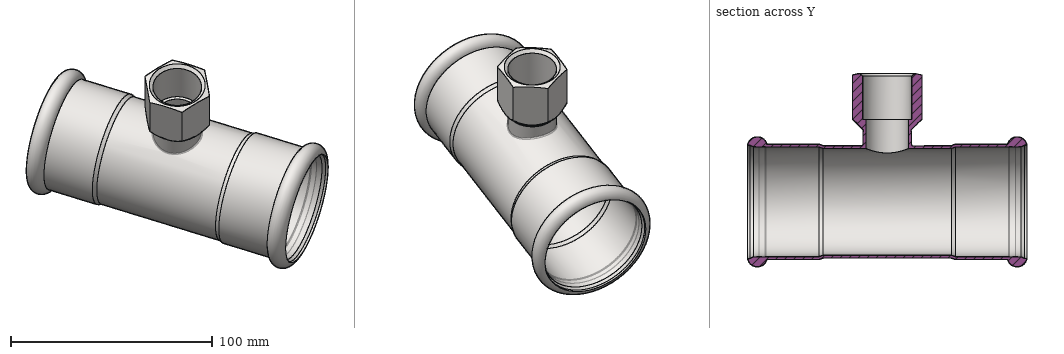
import cadquery as cq
import math

length = 139.0
body_radius = 56.0 / 2
body_bore_radius = 53.0 / 2
socket_radius = 57.5 / 2
socket_bore_radius = 54.5 / 2
step_start = 31.8
step_end = 33.9
bead_outer_radius = 32.4
bead_width = 9.9
bead_bore_radius = 54.8 / 2
mouth_radius = 28.1
mouth_depth = 1.3
mouth_taper_end = 2.9
throat_depth = 5.8
throat_radius = 27.2
bead_bore_depth = 8.6
bead_taper_end = 9.2
end_clearance = 1.4

top_z = 64.0
neck_radius = 24.2 / 2
neck_bore_radius = 21.0 / 2
neck_fillet = 0.5
collar_radius = 24.0 / 2
collar_bottom_z = 35.0
nut_cone_bottom_z = 35.7
nut_across_flats = 30.0
top_face_radius = 13.9
top_cone_angle = 14.0
thread_radius = 24.2 / 2
thread_floor_z = 41.0
countersink_depth = 1.4

half_length = length / 2
bead_radius = bead_width / 2
bead_ring_radius = bead_outer_radius - bead_radius
bead_center = half_length - math.sqrt(bead_radius**2 - (mouth_radius - bead_ring_radius) ** 2)
nut_corner_radius = nut_across_flats / math.sqrt(3)


def cylinder_z(radius, bottom, top):
    return cq.Workplane("XY").workplane(offset=bottom).circle(radius).extrude(top - bottom)


def revolve_about_x(profile):
    return profile.close().revolve(360, (0, 0, 0), (1, 0, 0))


def half_run_outside():
    """Solid outside of the +X half: body, tapered step, socket and bead."""
    tube = revolve_about_x(
        cq.Workplane("XY")
        .lineTo(0, body_radius)
        .lineTo(step_start, body_radius)
        .lineTo(step_end, socket_radius)
        .lineTo(bead_center, socket_radius)
        .lineTo(bead_center, 0)
    )
    bead = (
        cq.Workplane("XY")
        .center(bead_center, bead_ring_radius)
        .circle(bead_radius)
        .revolve(360, (-bead_center, -bead_ring_radius, 0), (0, -bead_ring_radius, 0))
    )
    return tube.union(bead)


def half_run_bore():
    """Bore of the +X half, widening from the body to the socket, with a shallow throat inside the bead."""
    return revolve_about_x(
        cq.Workplane("XY")
        .lineTo(0, body_bore_radius)
        .lineTo(step_start, body_bore_radius)
        .lineTo(step_end, socket_bore_radius)
        .lineTo(half_length - bead_taper_end, socket_bore_radius)
        .lineTo(half_length - bead_bore_depth, bead_bore_radius)
        .lineTo(half_length - throat_depth, throat_radius)
        .lineTo(half_length - mouth_taper_end, bead_bore_radius)
        .lineTo(half_length - mouth_depth, mouth_radius)
        .lineTo(half_length + end_clearance, mouth_radius)
        .lineTo(half_length + end_clearance, 0)
    )


def both_ends(half):
    return half.union(half.mirror("YZ")).clean()


def neck_on_run(run):
    """Join the neck to the run and round the seam between them."""
    joined = run.union(cylinder_z(neck_radius, 0, collar_bottom_z))
    seam_margin = 1.4
    lowest_seam_z = math.sqrt(body_radius**2 - neck_radius**2)
    seam_box = cq.selectors.BoxSelector(
        (-neck_radius - seam_margin, -neck_radius - seam_margin, lowest_seam_z - seam_margin),
        (neck_radius + seam_margin, neck_radius + seam_margin, body_radius + seam_margin),
        boundingbox=True,
    )
    return joined.edges(seam_box).fillet(neck_fillet)


def nut():
    """Hexagon trimmed by a 45 degree cone below and a shallow cone above."""
    hexagon = (
        cq.Workplane("XY")
        .workplane(offset=collar_bottom_z)
        .polygon(6, 2 * nut_corner_radius)
        .extrude(top_z - collar_bottom_z)
    )
    cone_height = nut_corner_radius - collar_radius
    top_drop = (nut_corner_radius - top_face_radius) * math.tan(math.radians(top_cone_angle))
    envelope = (
        cq.Workplane("XZ")
        .moveTo(0, collar_bottom_z)
        .lineTo(collar_radius, collar_bottom_z)
        .lineTo(collar_radius, nut_cone_bottom_z)
        .lineTo(nut_corner_radius, nut_cone_bottom_z + cone_height)
        .lineTo(nut_corner_radius, top_z - top_drop)
        .lineTo(top_face_radius, top_z)
        .lineTo(0, top_z)
        .close()
        .revolve(360, (0, 0, 0), (0, 1, 0))
    )
    return hexagon.intersect(envelope)


def branch_bore():
    """Neck bore, wider thread bore and a countersink reaching the top face's inner rim."""
    neck_bore = cylinder_z(neck_bore_radius, 0, top_z)
    thread_bore = cylinder_z(thread_radius, thread_floor_z, top_z)
    countersink = (
        cq.Workplane("XY")
        .workplane(offset=top_z - countersink_depth)
        .circle(thread_radius)
        .workplane(offset=countersink_depth)
        .circle(top_face_radius)
        .loft()
    )
    return neck_bore.union(thread_bore).union(countersink)


outside = neck_on_run(both_ends(half_run_outside())).union(nut())
result = outside.cut(both_ends(half_run_bore())).cut(branch_bore())